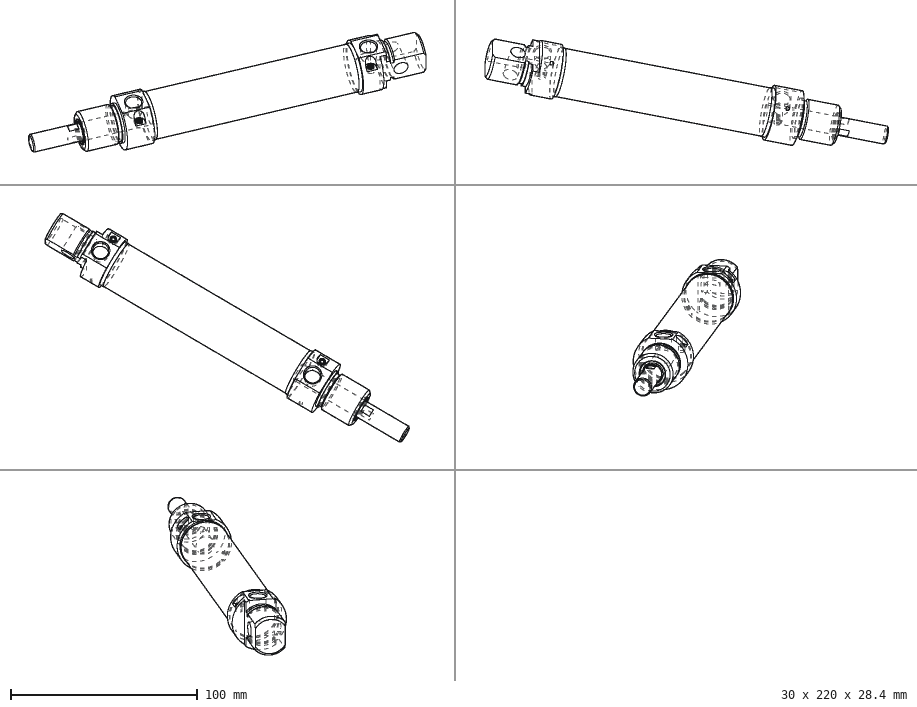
import cadquery as cq
import math


TOTAL_LENGTH = 220.0
NOSE_FACE = 27.5
FRONT_HEAD_FACE = 49.5
FRONT_BARREL_END = 66.9
REAR_BARREL_END = 180.6
REAR_HEAD_FACE = 197.8

BARREL_DIAMETER = 26.5

FLANGE_DIAMETER = 30.0
COLLAR_DIAMETER = 26.8
COLLAR_LENGTH = 2.0
FLANGE_TOP = COLLAR_DIAMETER / 2
SPIGOT_DIAMETER = 22.0
SPIGOT_CHAMFER = 1.3
NECK_DIAMETER = 19.8

FRONT_SHOULDER_LENGTH = 1.3
FRONT_NECK_LENGTH = 2.5
REAR_SHOULDER_LENGTH = 2.2
REAR_NECK_LENGTH = 2.5
NECK_TAPER = 0.7

TONGUE_WIDTH = 16.5
TONGUE_ROOT = 194.0
PIVOT_DIAMETER = 8.0
PIVOT_Y = 206.0

ROD_DIAMETER = 10.0
ROD_CHAMFER = 0.7
WRENCH_FLAT_START = 21.1
WRENCH_FLAT_END = 26.5
WRENCH_FLAT_ACROSS = 9.0

SEAL_MOUTH_DIAMETER = 14.5
SEAL_RECESS_DIAMETER = 13.9
SEAL_RECESS_DEPTH = 1.0
SEAL_BASE_DIAMETER = 11.5
SEAL_LIP_DIAMETER = 10.5
SEAL_HEIGHT = 0.9

FRONT_PORT_Y = 57.9
REAR_PORT_Y = 190.3
PORT_DIAMETER = 8.5
PORT_MOUTH_DIAMETER = 10.0
PORT_CORE_DIAMETER = 12.3

FRONT_SCREW_Y = 57.9
REAR_SCREW_Y = 188.3
SCREW_X = 10.0
SCREW_DIAMETER = 3.5
SCREW_TOP = 8.5
SCREW_LENGTH = 4.0
SCREW_CHAMFER = 0.1
SOCKET_MOUTH_DIAMETER = 2.5
SOCKET_DIAMETER = 1.8
SOCKET_DEPTH = 1.0
POCKET_DIAMETER = 5.7
POCKET_FLOOR = 8.0

SIDE_HOLE_DIAMETER = 2.0
SIDE_HOLE_Z = -8.1
SIDE_HOLE_DEPTH = 0.7


def cylinder(diameter, start, end):
    """Cylinder on the Y axis between two Y positions."""
    plane = cq.Workplane("XZ", origin=(0, start, 0))
    return plane.circle(diameter / 2).extrude(start - end)


def revolved(profile):
    """Solid of revolution about Y from (radius, y) points."""
    return cq.Workplane("XY").polyline(profile).close().revolve(360, (0, 0), (0, 1))


def vertical_cylinder(diameter, x, y, bottom, top):
    plane = cq.Workplane("XY", origin=(x, y, bottom))
    return plane.circle(diameter / 2).extrude(top - bottom)


def port_cutter(y):
    """Vertical port with a 45 degree mouth, ending on the round core."""
    mouth_chamfer = (PORT_MOUTH_DIAMETER - PORT_DIAMETER) / 2
    bore = vertical_cylinder(PORT_DIAMETER, 0, y, 0, FLANGE_TOP)
    mouth = (
        cq.Workplane("XY", origin=(0, y, FLANGE_TOP))
        .circle(PORT_MOUTH_DIAMETER / 2)
        .workplane(offset=-mouth_chamfer)
        .circle(PORT_DIAMETER / 2)
        .loft()
    )
    core = cylinder(PORT_CORE_DIAMETER, y - PORT_DIAMETER, y + PORT_DIAMETER)
    return bore.cut(core).union(mouth)


def screw_pocket_cutter(y):
    """Round-ended pocket open towards +X, with the screw hole in its floor."""
    half_width = POCKET_DIAMETER / 2
    pocket = (
        cq.Workplane("XY", origin=(0, y, POCKET_FLOOR))
        .moveTo(FLANGE_DIAMETER / 2, -half_width)
        .lineTo(SCREW_X, -half_width)
        .threePointArc((SCREW_X - half_width, 0), (SCREW_X, half_width))
        .lineTo(FLANGE_DIAMETER / 2, half_width)
        .close()
        .extrude(FLANGE_TOP - POCKET_FLOOR)
    )
    screw_hole = vertical_cylinder(SCREW_DIAMETER, SCREW_X, y, SCREW_TOP - SCREW_LENGTH, POCKET_FLOOR)
    return pocket.union(screw_hole)


def side_hole_cutter(y):
    """Radial blind hole entering the lower -X flank of a flange."""
    flange_radius = FLANGE_DIAMETER / 2
    angle_below_x = math.degrees(math.asin(-SIDE_HOLE_Z / flange_radius))
    plane = cq.Workplane("YZ", origin=(-flange_radius, y, 0))
    hole = plane.circle(SIDE_HOLE_DIAMETER / 2).extrude(SIDE_HOLE_DEPTH)
    return hole.rotate((0, 0, 0), (0, 1, 0), -angle_below_x)


def make_flange(start, end):
    """Round flange with its top milled flat."""
    flat_cutter = cq.Workplane("XY").box(
        FLANGE_DIAMETER, end - start, FLANGE_DIAMETER, centered=(True, False, False)
    )
    return cylinder(FLANGE_DIAMETER, start, end).cut(flat_cutter.translate((0, start, FLANGE_TOP)))


def cut_head_features(head, port_y, screw_y):
    return head.cut(port_cutter(port_y)).cut(screw_pocket_cutter(screw_y)).cut(side_hole_cutter(screw_y))


def make_barrel():
    return cylinder(BARREL_DIAMETER, FRONT_BARREL_END, REAR_BARREL_END)


def make_rod():
    rod = cylinder(ROD_DIAMETER, 0, FRONT_BARREL_END).faces("<Y").chamfer(ROD_CHAMFER)
    flat_length = WRENCH_FLAT_END - WRENCH_FLAT_START
    flat_middle = (WRENCH_FLAT_START + WRENCH_FLAT_END) / 2
    for side in (1, -1):
        flat_z = side * (WRENCH_FLAT_ACROSS + ROD_DIAMETER) / 2
        cutter = cq.Workplane("XY").box(ROD_DIAMETER, flat_length, ROD_DIAMETER)
        rod = rod.cut(cutter.translate((0, flat_middle, flat_z)))
    return rod


def make_front_head():
    flange_end = FRONT_BARREL_END - COLLAR_LENGTH
    neck_end = FRONT_HEAD_FACE - FRONT_SHOULDER_LENGTH
    neck_start = neck_end - FRONT_NECK_LENGTH
    recess_floor = NOSE_FACE + SEAL_RECESS_DEPTH

    spigot_radius = SPIGOT_DIAMETER / 2
    neck_radius = NECK_DIAMETER / 2
    mouth_radius = SEAL_MOUTH_DIAMETER / 2
    recess_radius = SEAL_RECESS_DIAMETER / 2

    nose = revolved([
        (0, recess_floor),
        (recess_radius, recess_floor),
        (recess_radius, NOSE_FACE + mouth_radius - recess_radius),
        (mouth_radius, NOSE_FACE),
        (spigot_radius - SPIGOT_CHAMFER, NOSE_FACE),
        (spigot_radius, NOSE_FACE + SPIGOT_CHAMFER),
        (spigot_radius, neck_start),
        (neck_radius, neck_start + NECK_TAPER),
        (neck_radius, neck_end),
        (spigot_radius, neck_end),
        (spigot_radius, FRONT_HEAD_FACE),
        (0, FRONT_HEAD_FACE),
    ])
    seal = revolved([
        (0, recess_floor),
        (SEAL_BASE_DIAMETER / 2, recess_floor),
        (SEAL_LIP_DIAMETER / 2, recess_floor - SEAL_HEIGHT),
        (0, recess_floor - SEAL_HEIGHT),
    ])
    head = (
        nose.union(seal)
        .union(make_flange(FRONT_HEAD_FACE, flange_end))
        .union(cylinder(COLLAR_DIAMETER, flange_end, FRONT_BARREL_END))
        .cut(cylinder(ROD_DIAMETER, NOSE_FACE, FRONT_BARREL_END))
    )
    return cut_head_features(head, FRONT_PORT_Y, FRONT_SCREW_Y)


def make_rear_head():
    flange_start = REAR_BARREL_END + COLLAR_LENGTH
    neck_start = REAR_HEAD_FACE + REAR_SHOULDER_LENGTH
    neck_end = neck_start + REAR_NECK_LENGTH
    spigot_radius = SPIGOT_DIAMETER / 2
    neck_radius = NECK_DIAMETER / 2

    spigot = revolved([
        (0, REAR_HEAD_FACE),
        (spigot_radius, REAR_HEAD_FACE),
        (spigot_radius, neck_start),
        (neck_radius, neck_start),
        (neck_radius, neck_end - NECK_TAPER),
        (spigot_radius, neck_end),
        (spigot_radius, TOTAL_LENGTH - SPIGOT_CHAMFER),
        (spigot_radius - SPIGOT_CHAMFER, TOTAL_LENGTH),
        (0, TOTAL_LENGTH),
    ])
    pivot_hole = (
        cq.Workplane("YZ", origin=(0, PIVOT_Y, 0)).circle(PIVOT_DIAMETER / 2).extrude(TONGUE_WIDTH, both=True)
    )
    head = (
        cylinder(COLLAR_DIAMETER, REAR_BARREL_END, flange_start)
        .union(make_flange(flange_start, REAR_HEAD_FACE))
        .union(spigot)
        .cut(pivot_hole)
    )
    flank_length = TOTAL_LENGTH - TONGUE_ROOT
    for side in (1, -1):
        flank_x = side * (TONGUE_WIDTH + FLANGE_DIAMETER) / 2
        cutter = cq.Workplane("XY").box(FLANGE_DIAMETER, flank_length, 2 * FLANGE_DIAMETER)
        head = head.cut(cutter.translate((flank_x, TONGUE_ROOT + flank_length / 2, 0)))
    return cut_head_features(head, REAR_PORT_Y, REAR_SCREW_Y)


def make_screw(y):
    """Headless adjusting screw with a round socket."""
    screw = vertical_cylinder(SCREW_DIAMETER, SCREW_X, y, SCREW_TOP - SCREW_LENGTH, SCREW_TOP)
    socket = vertical_cylinder(SOCKET_DIAMETER, SCREW_X, y, SCREW_TOP - SOCKET_DEPTH, SCREW_TOP)
    mouth_chamfer = (SOCKET_MOUTH_DIAMETER - SOCKET_DIAMETER) / 2
    mouth_edge = cq.selectors.RadiusNthSelector(0)
    screw = screw.faces(">Z").chamfer(SCREW_CHAMFER).cut(socket)
    return screw.faces(">Z").edges(mouth_edge).chamfer(mouth_chamfer)


barrel = make_barrel()
rod = make_rod()
front_head = make_front_head()
rear_head = make_rear_head()
screws = [make_screw(y) for y in (FRONT_SCREW_Y, REAR_SCREW_Y)]

result = cq.Compound.makeCompound([
    barrel.val(),
    rod.val(),
    front_head.val(),
    rear_head.val(),
    *[screw.val() for screw in screws],
])